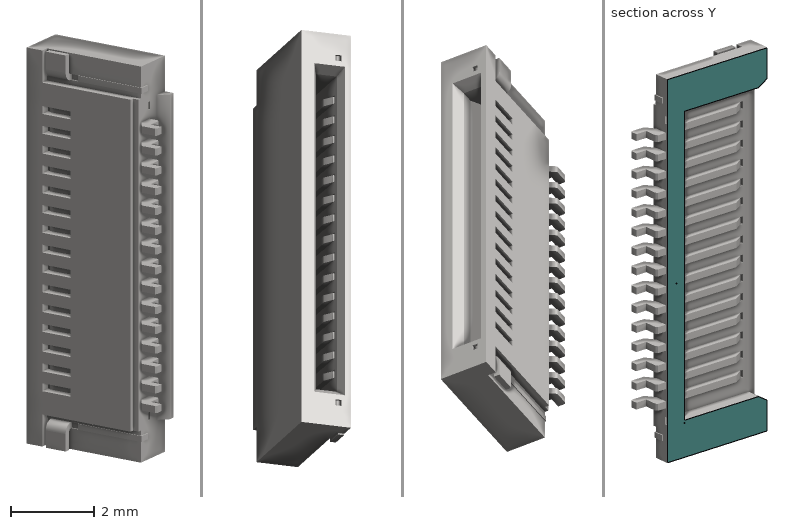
import cadquery as cq


length = 10.0
half_length = length / 2
depth = 3.15
thickness = 1.27
front_wall = 0.45

plate_half = 4.19
recess_depth = 0.21
rear_step_length = 0.16
rear_step_depth = 0.11

mouth_low = 0.15
mouth_high = 0.94
floor_y = 0.26
lead_in_y = 0.79
ceiling_y = 0.64
lead_in_depth = 0.28
ramp_start = 0.6
ramp_end = 0.86
cavity_depth = 2.6
cavity_half = 4.02

slit_low = 0.55
slit_high = 0.61
slit_inner = 3.82

ledge_reach = 0.24
ledge_half = 4.1
ledge_edge = 0.15
ledge_root = 0.37

contact_count = 15
pitch = 0.5
contact_width = 0.18
slot_width = 0.2
slot_end = 1.26
contact_tip = 0.54
contact_under = 0.2
contact_tip_top = 0.26
contact_peak = 0.41
contact_peak_x = 0.79
tail_top = 0.58
tail_back = 3.44
tail_chamfer = 0.05
foot_end = 3.75
foot_top = 0.19
foot_bottom = -0.03
foot_chamfer = 0.04
heel_x = 3.34
heel_bevel_x = 3.3
heel_bevel_y = 0.01
heel_root_y = 0.24

clip_inner = 4.32
clip_thickness = 0.15
clip_outer = clip_inner + clip_thickness
clip_rear = 3.18
clip_top = 0.47
clip_step_x = 1.35
clip_step = 0.05
clip_rise = 0.02
bend_radius = 0.24
foot_start = 0.57
foot_stop = 1.14
window_low = 0.24
window_high = 0.39
nose_radius = (window_high - window_low) / 2
nose_tip = 0.06


def block(x_range, y_range, z_range):
    """Box given by its limits along each axis."""
    (x0, x1), (y0, y1), (z0, z1) = x_range, y_range, z_range
    return cq.Workplane("XY").box(x1 - x0, y1 - y0, z1 - z0, centered=False).translate((x0, y0, z0))


def prism(points, z0, z1):
    """Outline in X and Y extruded between two Z levels."""
    return cq.Workplane("XY").workplane(offset=z0).polyline(points).close().extrude(z1 - z0)


def both_ends(shape):
    """The shape at the +Z end together with its mirror image at the -Z end."""
    return shape.union(shape.mirror("XY"))


def make_cavity():
    """Card opening: the overlap of its thickness outline and its length outline."""
    side = prism(
        [
            (0, mouth_low),
            (lead_in_depth, floor_y),
            (cavity_depth, floor_y),
            (cavity_depth, ceiling_y),
            (ramp_end, ceiling_y),
            (ramp_start, lead_in_y),
            (lead_in_depth, lead_in_y),
            (0, mouth_high),
        ],
        -half_length,
        half_length,
    )
    plan = (
        cq.Workplane("XZ")
        .polyline(
            [
                (0, plate_half),
                (lead_in_depth, cavity_half),
                (cavity_depth, cavity_half),
                (cavity_depth, -cavity_half),
                (lead_in_depth, -cavity_half),
                (0, -plate_half),
            ]
        )
        .close()
        .extrude(-thickness)
    )
    return side.intersect(plan)


def make_ledge():
    """Rear ledge with a sloping underside."""
    return prism(
        [
            (depth, thickness),
            (depth + ledge_reach, thickness),
            (depth + ledge_reach, thickness - ledge_edge),
            (depth, thickness - ledge_root),
        ],
        -ledge_half,
        ledge_half,
    )


def make_housing():
    body = block((0, depth), (0, thickness), (-half_length, half_length)).union(make_ledge())
    recess = block((front_wall, depth), (0, recess_depth), (plate_half, half_length))
    slit = block((cavity_depth, depth), (slit_low, slit_high), (slit_inner, cavity_half))
    rear_step = block(
        (depth - rear_step_length, depth),
        (0, rear_step_depth),
        (-plate_half, plate_half),
    )
    body = body.cut(both_ends(recess)).cut(both_ends(slit)).cut(rear_step).cut(make_cavity())
    channel = block(
        (front_wall, clip_step_x),
        (recess_depth, recess_depth + clip_step),
        (clip_inner, clip_outer),
    )
    nose_x = nose_tip + nose_radius
    window = (
        cq.Workplane("XY")
        .workplane(offset=clip_inner)
        .moveTo(0, window_low)
        .lineTo(0, window_high)
        .lineTo(nose_x, window_high)
        .threePointArc((nose_tip, window_low + nose_radius), (nose_x, window_low))
        .close()
        .extrude(clip_thickness)
    )
    return body.cut(both_ends(channel.union(window)))


def make_contact(z):
    """Contact beam inside the opening and its soldering tail behind the housing."""
    outline = [
        (contact_tip, contact_under),
        (contact_tip, contact_tip_top),
        (contact_peak_x, contact_peak),
        (depth, contact_peak),
        (depth, tail_top),
        (tail_back - tail_chamfer, tail_top),
        (tail_back, tail_top - tail_chamfer),
        (tail_back, foot_top),
        (foot_end, foot_top),
        (foot_end, foot_bottom + foot_chamfer),
        (foot_end - foot_chamfer, foot_bottom),
        (heel_x, foot_bottom),
        (heel_bevel_x, heel_bevel_y),
        (depth, heel_root_y),
        (slot_end, heel_root_y),
        (slot_end, contact_under),
    ]
    return prism(outline, z - contact_width / 2, z + contact_width / 2)


def make_clip():
    """Clip strip standing slightly proud of the recess, and the foot bent outward over the recess."""
    strip = block(
        (clip_step_x, clip_rear),
        (recess_depth - clip_rise, clip_top),
        (clip_inner, clip_outer),
    )
    inner_radius = bend_radius - clip_thickness
    bend_end = clip_inner + bend_radius
    bend_y = foot_bottom + bend_radius
    root_y = recess_depth + clip_step
    foot = (
        cq.Workplane("YZ")
        .workplane(offset=foot_start)
        .moveTo(root_y, clip_inner)
        .lineTo(bend_y, clip_inner)
        .radiusArc((foot_bottom, bend_end), bend_radius)
        .lineTo(foot_bottom, half_length)
        .lineTo(foot_bottom + clip_thickness, half_length)
        .lineTo(foot_bottom + clip_thickness, bend_end)
        .radiusArc((bend_y, clip_outer), -inner_radius)
        .lineTo(root_y, clip_outer)
        .close()
        .extrude(foot_stop - foot_start)
    )
    return strip.union(foot)


result = make_housing()
for index in range(contact_count):
    contact_z = (index - (contact_count - 1) / 2) * pitch
    slot = block(
        (front_wall, slot_end),
        (0, floor_y),
        (contact_z - slot_width / 2, contact_z + slot_width / 2),
    )
    result = result.cut(slot).union(make_contact(contact_z))
result = result.union(both_ends(make_clip()))